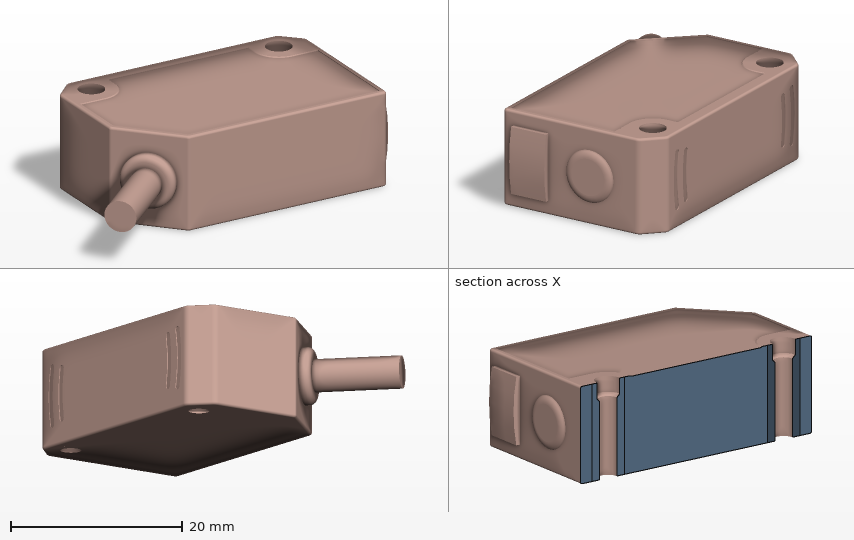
import cadquery as cq
import math

WIDTH = 21.25
LENGTH = 33.5
HEIGHT = 12.0
TOP = HEIGHT / 2
FRONT_CHAMFER = 2.5
FRONT_CORNER_RADIUS = 1.0
BACK_CORNER_RADIUS = 0.5
RIM_RADIUS = 0.3

BEVEL_X = 7.1
BEVEL_Y = 6.55
BEVEL_LENGTH = math.hypot(BEVEL_X, BEVEL_Y)
BEVEL_MIDDLE = (WIDTH - BEVEL_X / 2, BEVEL_Y / 2, 0)
BEVEL_NORMAL = (BEVEL_Y / BEVEL_LENGTH, -BEVEL_X / BEVEL_LENGTH, 0)

HOLE_X = 3.05
HOLE_Y = 4.05
HOLE_CENTRES = [(HOLE_X, HOLE_Y), (HOLE_X, LENGTH - HOLE_Y)]
BUSHING_RADIUS = 2.3
BORE_RADIUS = 1.22
COUNTERBORE_RADIUS = 1.62
COUNTERBORE_DEPTH = 1.95

LABEL_DEPTH = 0.1
LABEL_MARGIN = 0.67
LABEL_FRONT_MARGIN = 1.62
EAR_RADIUS = 3.32
EAR_DRAFT_ANGLE = 55

WINDOW_LENGTH = 17.9
WINDOW_HEIGHT = 9.15
WINDOW_CORNER_RADIUS = 0.4
WINDOW_DEPTH = 1.0
WINDOW_Y = 16.55

GROOVES = [(10.79, 6.78), (12.75, 7.57)]
GROOVE_WIDTH = 0.8
GROOVE_ARC_RADIUS = 18.0
GROOVE_DEPTH = 0.1

DOME_X = 9.21
DOME_FLAT_RADIUS = 2.3
DOME_ROUNDING = 1.3
DOME_RISE = 0.43
BAR_X = 17.35
BAR_WIDTH = 4.85
BAR_HEIGHT = 8.4
BAR_EDGE_RISE = 0.55
BAR_CROWN_RISE = 0.95

CABLE_RADIUS = 1.95
CABLE_LENGTH = 11.68
GROMMET_RADIUS = 3.4
GROMMET_LENGTH = 1.3
GROMMET_ROUNDING = 0.75


def make_block():
    outline = [
        (FRONT_CHAMFER, 0),
        (WIDTH - BEVEL_X, 0),
        (WIDTH, BEVEL_Y),
        (WIDTH, LENGTH),
        (FRONT_CHAMFER, LENGTH),
        (0, LENGTH - FRONT_CHAMFER),
        (0, FRONT_CHAMFER),
    ]
    block = cq.Workplane("XY").workplane(offset=-TOP).polyline(outline).close().extrude(HEIGHT)
    clearance = 1
    low_y, high_y = -clearance, LENGTH + clearance
    front_corners = cq.selectors.BoxSelector((-clearance, low_y, -TOP), (HOLE_X, high_y, TOP))
    back_corners = cq.selectors.BoxSelector((HOLE_X, low_y, -TOP), (WIDTH + clearance, high_y, TOP))
    block = block.edges("|Z").edges(front_corners).fillet(FRONT_CORNER_RADIUS)
    block = block.edges("|Z").edges(back_corners).fillet(BACK_CORNER_RADIUS)
    return block.faces("|Z").edges().fillet(RIM_RADIUS)


def make_ear(y_outer, y_inner):
    """Draft-sided pad around a mounting hole, from the housing side at y_outer to its edge at y_inner."""
    inward = math.copysign(1, y_inner - y_outer)
    side_x = HOLE_X + EAR_RADIUS
    hole_y = y_inner - inward * EAR_RADIUS
    diagonal = EAR_RADIUS * math.sqrt(0.5)
    return (
        cq.Workplane("XY")
        .workplane(offset=TOP - LABEL_DEPTH)
        .moveTo(0, y_outer)
        .lineTo(side_x, y_outer)
        .lineTo(side_x, hole_y)
        .threePointArc((HOLE_X + diagonal, hole_y + inward * diagonal), (HOLE_X, y_inner))
        .lineTo(0, y_inner)
        .close()
        .extrude(LABEL_DEPTH, taper=EAR_DRAFT_ANGLE)
    )


def make_label_recess():
    margin = LABEL_MARGIN
    lower_x = WIDTH - BEVEL_X + margin * (BEVEL_X - BEVEL_LENGTH) / BEVEL_Y
    back_y = BEVEL_Y + margin * (BEVEL_LENGTH - BEVEL_Y) / BEVEL_X
    outline = [
        (LABEL_FRONT_MARGIN, margin),
        (lower_x, margin),
        (WIDTH - margin, back_y),
        (WIDTH - margin, LENGTH - margin),
        (LABEL_FRONT_MARGIN, LENGTH - margin),
    ]
    recess_floor = cq.Workplane("XY").workplane(offset=TOP - LABEL_DEPTH)
    recess = recess_floor.polyline(outline).close().extrude(LABEL_DEPTH)
    lower_ear = make_ear(0, HOLE_Y + EAR_RADIUS)
    upper_ear = make_ear(LENGTH, LENGTH - HOLE_Y - EAR_RADIUS)
    return recess.cut(lower_ear).cut(upper_ear)


def make_groove(distance, height, side):
    """Round-ended arc slot at a distance from the window, bowed away from it; side is -1 or 1 along Y."""
    half_width = GROOVE_WIDTH / 2
    inner = GROOVE_ARC_RADIUS - half_width
    outer = GROOVE_ARC_RADIUS + half_width
    end_angle = math.asin((height / 2 - half_width) / GROOVE_ARC_RADIUS)
    tip_angle = math.asin(height / 2 / GROOVE_ARC_RADIUS)

    def point(radius, angle):
        offset = distance - GROOVE_ARC_RADIUS + radius * math.cos(angle)
        return WINDOW_Y + side * offset, radius * math.sin(angle)

    return (
        cq.Workplane("YZ")
        .moveTo(*point(outer, -end_angle))
        .threePointArc(point(outer, 0), point(outer, end_angle))
        .threePointArc(point(GROOVE_ARC_RADIUS, tip_angle), point(inner, end_angle))
        .threePointArc(point(inner, 0), point(inner, -end_angle))
        .threePointArc(point(GROOVE_ARC_RADIUS, -tip_angle), point(outer, -end_angle))
        .close()
        .extrude(GROOVE_DEPTH)
    )


def make_dome():
    """Low disc on the back side, whose flat crown runs into a rounded flank."""
    crown_y = LENGTH + DOME_RISE
    flank_width = math.sqrt(DOME_ROUNDING**2 - (DOME_ROUNDING - DOME_RISE) ** 2)
    return (
        cq.Workplane("XY")
        .moveTo(DOME_X, LENGTH)
        .lineTo(DOME_X + DOME_FLAT_RADIUS + flank_width, LENGTH)
        .radiusArc((DOME_X + DOME_FLAT_RADIUS, crown_y), -DOME_ROUNDING)
        .lineTo(DOME_X, crown_y)
        .close()
        .revolve(360, (DOME_X, LENGTH), (DOME_X, crown_y))
    )


def make_window():
    return (
        cq.Workplane("YZ")
        .center(WINDOW_Y, 0)
        .rect(WINDOW_LENGTH, WINDOW_HEIGHT)
        .extrude(WINDOW_DEPTH)
        .edges("|X")
        .fillet(WINDOW_CORNER_RADIUS)
    )


def make_bushing(centre):
    """Sleeve through the full height, counterbored from the top with a 45 degree cone down to the bore."""
    floor = TOP - COUNTERBORE_DEPTH
    cone_end = floor - (COUNTERBORE_RADIUS - BORE_RADIUS)
    section = [
        (BORE_RADIUS, -TOP),
        (BUSHING_RADIUS, -TOP),
        (BUSHING_RADIUS, TOP),
        (COUNTERBORE_RADIUS, TOP),
        (COUNTERBORE_RADIUS, floor),
        (BORE_RADIUS, cone_end),
    ]
    sleeve = cq.Workplane("XZ").polyline(section).close().revolve(360, (0, 0), (0, 1))
    return sleeve.translate((*centre, 0))


def make_indicator_bar():
    half_height = BAR_HEIGHT / 2
    return (
        cq.Workplane("YZ")
        .workplane(offset=BAR_X - BAR_WIDTH / 2)
        .moveTo(LENGTH, -half_height)
        .lineTo(LENGTH + BAR_EDGE_RISE, -half_height)
        .threePointArc((LENGTH + BAR_CROWN_RISE, 0), (LENGTH + BAR_EDGE_RISE, half_height))
        .lineTo(LENGTH, half_height)
        .close()
        .extrude(BAR_WIDTH)
    )


def make_cable():
    base = cq.Plane(origin=BEVEL_MIDDLE, xDir=(0, 0, 1), normal=BEVEL_NORMAL)
    grommet = cq.Workplane(base).circle(GROMMET_RADIUS).extrude(GROMMET_LENGTH)
    outer_end = cq.selectors.DirectionMinMaxSelector(cq.Vector(*BEVEL_NORMAL), True)
    grommet = grommet.faces(outer_end).edges().fillet(GROMMET_ROUNDING)
    return grommet.union(cq.Workplane(base).circle(CABLE_RADIUS).extrude(CABLE_LENGTH))


def make_housing():
    bushing_holes = (
        cq.Workplane("XY")
        .workplane(offset=-TOP)
        .pushPoints(HOLE_CENTRES)
        .circle(BUSHING_RADIUS)
        .extrude(HEIGHT)
    )
    housing = make_block().union(make_dome())
    for cavity in (make_label_recess(), make_window(), bushing_holes):
        housing = housing.cut(cavity)
    for distance, height in GROOVES:
        for side in (-1, 1):
            housing = housing.cut(make_groove(distance, height, side))
    return housing


housing = make_housing()
window = make_window()
bushings = [make_bushing(centre) for centre in HOLE_CENTRES]
indicator_bar = make_indicator_bar()
cable = make_cable()

result = cq.Compound.makeCompound(
    [
        housing.val(),
        window.val(),
        *[bushing.val() for bushing in bushings],
        indicator_bar.val(),
        cable.val(),
    ]
)